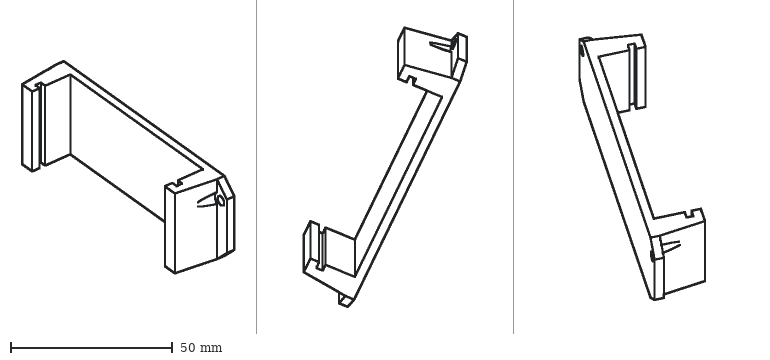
import cadquery as cq

length = 90.0
depth = 18.0
height = 30.0

plate_thickness = 3.0
corner_chamfer = 4.95

leg_root_inset = corner_chamfer
leg_tip_inset = 6.9
leg_inner_inset = 12.0

groove_width = 2.2
groove_depth = 2.2
groove_lip = 3.0

hole_diameter = 3.2
hole_inset = 3.0
hole_drop = 7.0
clearance_diameter = 5.9

half_length = length / 2
half_height = height / 2
groove_front = groove_lip - depth


def make_plate():
    """Rectangular plate with its four corners cut off."""
    return (
        cq.Workplane("XY")
        .box(length, plate_thickness, height)
        .translate((0, -plate_thickness / 2, 0))
        .edges("|Y")
        .chamfer(corner_chamfer)
    )


def make_leg(side):
    """Full-height leg with a tapered outer face and a grooved inner face."""
    root = side * (half_length - leg_root_inset)
    tip = side * (half_length - leg_tip_inset)
    inner = side * (half_length - leg_inner_inset)
    groove_floor = inner + side * groove_depth
    groove_back = groove_front + groove_width
    outline = [
        (root, -plate_thickness),
        (tip, -depth),
        (inner, -depth),
        (inner, groove_front),
        (groove_floor, groove_front),
        (groove_floor, groove_back),
        (inner, groove_back),
        (inner, -plate_thickness),
    ]
    return (
        cq.Workplane("XY", origin=(0, 0, -half_height))
        .polyline(outline)
        .close()
        .extrude(height)
    )


def make_hole(side):
    """Through hole and the wider clearance in front of the plate."""
    x = side * (half_length - hole_inset)
    z = half_height - hole_drop
    hole = cq.Workplane("XZ", origin=(x, 0, z)).circle(hole_diameter / 2).extrude(depth)
    clearance = (
        cq.Workplane("XZ", origin=(x, -plate_thickness, z))
        .circle(clearance_diameter / 2)
        .extrude(depth - plate_thickness)
    )
    return hole.union(clearance)


result = make_plate()
for side in (-1, 1):
    result = result.union(make_leg(side))
for side in (-1, 1):
    result = result.cut(make_hole(side))